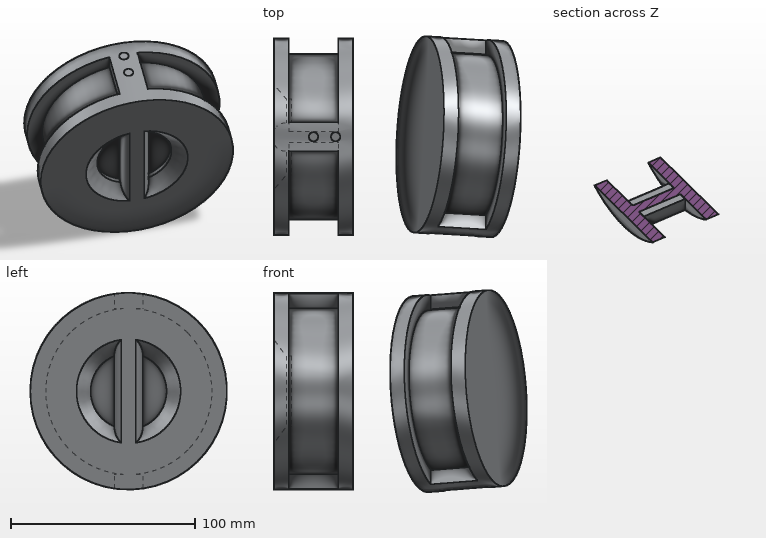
import cadquery as cq

body_diameter = 107.0
body_length = 43.0
flange_thickness = 8.1
groove_diameter = 90.3
web_width = 15.6
web_overlap = 0.1

mouth_diameter = 56.6
throat_diameter = 41.3
taper_depth = 6.6
recess_depth = 9.3
bar_diameter = 15.5

pin_diameter = 5.0
pin_spacing = 12.0
pin_depth = 5.4

inlet_x = -body_length / 2
body_radius = body_diameter / 2
taper_end_x = inlet_x + taper_depth
floor_x = inlet_x + recess_depth


def x_cylinder(diameter, length):
    """Cylinder along X, centred on the origin."""
    return cq.Workplane("YZ").circle(diameter / 2).extrude(length / 2, both=True)


def make_body():
    """Disc with a rim groove that is bridged by a web at the top and the bottom."""
    groove_length = body_length - 2 * flange_thickness
    rim = x_cylinder(body_diameter, groove_length)
    core = x_cylinder(groove_diameter, groove_length)
    web_gap = groove_diameter - 2 * web_overlap
    webs = (
        cq.Workplane("XY")
        .box(groove_length, web_width, body_diameter)
        .cut(cq.Workplane("XY").box(groove_length, web_width, web_gap))
        .intersect(rim)
    )
    return x_cylinder(body_diameter, body_length).cut(rim.cut(core).cut(webs))


def make_recess():
    """Tapered bowl that runs into a straight throat with a flat floor."""
    return (
        cq.Workplane("XY")
        .moveTo(inlet_x, 0)
        .lineTo(inlet_x, mouth_diameter / 2)
        .lineTo(taper_end_x, throat_diameter / 2)
        .lineTo(floor_x, throat_diameter / 2)
        .lineTo(floor_x, 0)
        .close()
        .revolve(360, (0, 0, 0), (1, 0, 0))
    )


def make_bar():
    """Upright round bar, level with the end of the taper, on a straight-sided foot."""
    foot_length = floor_x - taper_end_x
    bar = (
        cq.Workplane("XY")
        .center(taper_end_x, 0)
        .circle(bar_diameter / 2)
        .extrude(body_radius, both=True)
    )
    foot = cq.Workplane("XY").box(foot_length, bar_diameter, body_diameter)
    return bar.union(foot.translate((taper_end_x + foot_length / 2, 0, 0)))


def make_pins():
    """Pins in a row along X, their tops level with the crest of the body."""
    return (
        cq.Workplane("XY", origin=(0, 0, body_radius))
        .pushPoints([(0, 0), (pin_spacing, 0)])
        .circle(pin_diameter / 2)
        .extrude(-pin_depth)
    )


recess = make_recess().cut(make_bar())
result = make_body().cut(recess).union(make_pins())